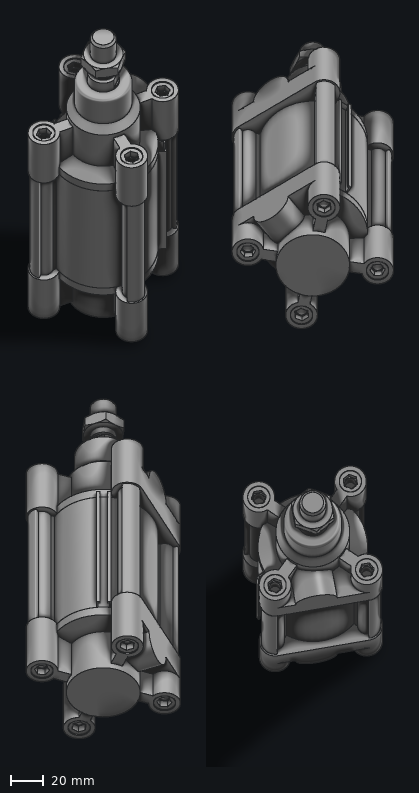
import cadquery as cq
import math


TOTAL_HEIGHT = 234.0
REAR_COLUMN_BOTTOM = 4.2
CAP_HEIGHT = 35.5
BARREL_BOTTOM = REAR_COLUMN_BOTTOM + CAP_HEIGHT
BARREL_TOP = 129.6
COLLAR_TOP = 194.2
SPIGOT_TOP = 168.7
FLAT_BOTTOM = 195.0
SHOULDER_TOP = 202.2
THREAD_BOTTOM = 205.5
NUT_BOTTOM = 210.0

CORNER_OFFSET = 28.3
CORNER_RADIUS = CORNER_OFFSET * math.sqrt(2)
CORNER_ANGLES = [45, 135, 225, 315]
WEB_WIDTH = 7.5

COLUMN_DIAMETER = 19.5
RING_DIAMETER = 67.0
RING_HEIGHT = 6.3
RING_TAPER_HEIGHT = 4.0
SPIGOT_DIAMETER = 45.0
COLLAR_DIAMETER = 35.0
COLLAR_FILLET = 2.0
ROD_BORE_DIAMETER = 20.0
RECESS_DIAMETER = 13.5
RECESS_DEPTH = 1.0
SOCKET_ACROSS_FLATS = 8.0
SOCKET_DEPTH = 4.7
CORE_HOLE_DIAMETER = 6.8
CORE_HOLE_DEPTH = 9.4
PORT_OFFSET = 4.5
PORT_DIAMETER = 25.7
PORT_FACE = CORNER_OFFSET + COLUMN_DIAMETER / 2

BARREL_DIAMETER = 67.0
TIE_BAR_DIAMETER = 11.5
SHELL_RADIUS = 8.7
SHELL_EDGE_FILLET = 0.7
RAIL_ANGLE = 24.0
RAIL_HALF_WIDTH = 4.5
RAIL_TOP = 38.4
RAIL_WALL = 1.0
RAIL_LIP = 1.2
RAIL_OPENING = 4.7
RAIL_ROOT_DEPTH = 2.3

ROD_DIAMETER = 19.5
ROD_ACROSS_FLATS = 17.0
NECK_DIAMETER = 14.5
THREAD_DIAMETER = 16.0
TIP_DIAMETER = 13.0
TIP_CHAMFER_HEIGHT = 1.6
NUT_ACROSS_FLATS = 24.0
NUT_HEIGHT = 8.5
NUT_CHAMFER_ANGLE = 30.0

HALF_HEX_ANGLE = 30.0


def cylinder(diameter, bottom, height):
    return cq.Workplane("XY").workplane(offset=bottom).circle(diameter / 2).extrude(height)


def revolved(profile):
    """Solid of revolution about Z from (radius, height) points."""
    return cq.Workplane("XZ").polyline(profile).close().revolve(360, (0, 0), (0, 1))


def hexagon(across_flats, bottom, height, turn):
    across_corners = across_flats / math.cos(math.radians(HALF_HEX_ANGLE))
    prism = cq.Workplane("XY").workplane(offset=bottom).polygon(6, across_corners).extrude(height)
    return prism.rotate((0, 0, 0), (0, 0, 1), turn)


def at_corners(shape):
    """Four copies, one per corner, of a shape drawn on the +X axis; joined into one Workplane."""
    copies = [shape.rotate((0, 0, 0), (0, 0, 1), angle) for angle in CORNER_ANGLES]
    joined = copies[0]
    for copy in copies[1:]:
        joined = joined.add(copy)
    return joined.combine()


def corner_webs(bottom, height):
    web = (
        cq.Workplane("XY").workplane(offset=bottom).rect(CORNER_RADIUS, WEB_WIDTH).extrude(height)
        .translate((CORNER_RADIUS / 2, 0, 0))
    )
    return at_corners(web)


def port_boss():
    """Block between the two +Y webs of a cap, with a half-round port boss rising from it."""
    axis_height = CAP_HEIGHT / 2
    block = (
        cq.Workplane("XY")
        .polyline([
            (0, 0), (CORNER_OFFSET, CORNER_OFFSET), (CORNER_OFFSET, PORT_FACE),
            (-CORNER_OFFSET, PORT_FACE), (-CORNER_OFFSET, CORNER_OFFSET),
        ])
        .close().extrude(axis_height)
    )
    boss = (
        cq.Workplane("XZ").center(PORT_OFFSET, axis_height).circle(PORT_DIAMETER / 2).extrude(-PORT_FACE)
    )
    return block.union(boss)


def screw_socket():
    """Cutter for one column end: shallow round recess, hexagon socket and core hole below it."""
    recess_floor = CAP_HEIGHT - RECESS_DEPTH
    socket_floor = recess_floor - SOCKET_DEPTH
    recess = cylinder(RECESS_DIAMETER, recess_floor, RECESS_DEPTH)
    socket = hexagon(SOCKET_ACROSS_FLATS, socket_floor, SOCKET_DEPTH, 45)
    core = cylinder(CORE_HOLE_DIAMETER, socket_floor - CORE_HOLE_DEPTH, CORE_HOLE_DEPTH)
    return recess.union(socket).union(core).translate((CORNER_RADIUS, 0, 0))


def cap_body():
    """Features shared by both caps; the barrel joint is at Z = 0 and the outer end faces +Z."""
    ring_radius = RING_DIAMETER / 2
    spigot_radius = SPIGOT_DIAMETER / 2
    taper_top = RING_HEIGHT + RING_TAPER_HEIGHT
    core = revolved([
        (0, 0), (ring_radius, 0), (ring_radius, RING_HEIGHT),
        (spigot_radius, taper_top), (spigot_radius, CAP_HEIGHT), (0, CAP_HEIGHT),
    ])
    column = cylinder(COLUMN_DIAMETER, 0, CAP_HEIGHT).translate((CORNER_RADIUS, 0, 0))
    body = core.union(corner_webs(0, CAP_HEIGHT)).union(at_corners(column)).union(port_boss())
    return body.cut(at_corners(screw_socket()))


def make_front_cap():
    spigot_base = BARREL_TOP + CAP_HEIGHT
    spigot_radius = SPIGOT_DIAMETER / 2
    collar_radius = COLLAR_DIAMETER / 2
    collar_base = SPIGOT_TOP + spigot_radius - collar_radius
    nose = revolved([
        (0, spigot_base), (spigot_radius, spigot_base), (spigot_radius, SPIGOT_TOP),
        (collar_radius, collar_base), (collar_radius, COLLAR_TOP), (0, COLLAR_TOP),
    ]).faces(">Z").edges().fillet(COLLAR_FILLET)
    rod_bore = cylinder(ROD_BORE_DIAMETER, BARREL_TOP, COLLAR_TOP - BARREL_TOP)
    return cap_body().translate((0, 0, BARREL_TOP)).union(nose).cut(rod_bore)


def make_rear_cap():
    body = cap_body().mirror("XY").translate((0, 0, BARREL_BOTTOM))
    spigot = cylinder(SPIGOT_DIAMETER, 0, REAR_COLUMN_BOTTOM)
    return body.union(spigot)


def sensor_rail(length):
    """Rail on the +X axis: two walls whose hooked lips leave a narrow opening between them."""
    half_opening = RAIL_OPENING / 2
    inner_half = RAIL_HALF_WIDTH - RAIL_WALL
    root = BARREL_DIAMETER / 2 - RAIL_ROOT_DEPTH
    wall = (
        cq.Workplane("XY")
        .polyline([
            (root, RAIL_HALF_WIDTH), (RAIL_TOP, RAIL_HALF_WIDTH), (RAIL_TOP, half_opening),
            (RAIL_TOP - RAIL_LIP, half_opening), (RAIL_TOP - RAIL_LIP, inner_half), (root, inner_half),
        ])
        .close().extrude(length)
    )
    return wall.union(wall.mirror("XZ"))


def tie_bar(length):
    """Round bar with a quarter-round shell that faces away from the cylinder axis, along +X."""
    bar = cq.Workplane("XY").circle(TIE_BAR_DIAMETER / 2).extrude(length)
    shell_end = SHELL_RADIUS * math.cos(math.radians(45))
    shell = (
        cq.Workplane("XY").lineTo(shell_end, -shell_end)
        .threePointArc((SHELL_RADIUS, 0), (shell_end, shell_end)).close().extrude(length)
        .edges("|Z and (>Y or <Y)").fillet(SHELL_EDGE_FILLET)
    )
    return bar.union(shell).translate((CORNER_RADIUS, 0, 0))


def make_barrel():
    length = BARREL_TOP - BARREL_BOTTOM
    barrel = cylinder(BARREL_DIAMETER, 0, length)
    barrel = barrel.union(corner_webs(0, length)).union(at_corners(tie_bar(length)))
    for angle in (RAIL_ANGLE, 180 - RAIL_ANGLE):
        barrel = barrel.union(sensor_rail(length).rotate((0, 0, 0), (0, 0, 1), angle))
    return barrel.translate((0, 0, BARREL_BOTTOM))


def make_piston_rod():
    rod_radius = ROD_DIAMETER / 2
    neck_radius = NECK_DIAMETER / 2
    thread_radius = THREAD_DIAMETER / 2
    tip_radius = TIP_DIAMETER / 2
    thread_chamfer = thread_radius - neck_radius
    rod = revolved([
        (0, BARREL_TOP), (rod_radius, BARREL_TOP), (rod_radius, SHOULDER_TOP),
        (neck_radius, SHOULDER_TOP), (neck_radius, THREAD_BOTTOM - thread_chamfer),
        (thread_radius, THREAD_BOTTOM), (thread_radius, TOTAL_HEIGHT - TIP_CHAMFER_HEIGHT),
        (tip_radius, TOTAL_HEIGHT), (0, TOTAL_HEIGHT),
    ])
    flat_height = SHOULDER_TOP - FLAT_BOTTOM
    flats = (
        cylinder(2 * ROD_DIAMETER, FLAT_BOTTOM, flat_height)
        .cut(cq.Workplane("XY").workplane(offset=FLAT_BOTTOM)
             .rect(ROD_ACROSS_FLATS, 2 * ROD_DIAMETER).extrude(flat_height))
    )
    return rod.cut(flats)


def make_rod_nut():
    corner_radius = NUT_ACROSS_FLATS / 2 / math.cos(math.radians(HALF_HEX_ANGLE))
    end_radius = NUT_ACROSS_FLATS / 2
    chamfer_height = (corner_radius - end_radius) * math.tan(math.radians(NUT_CHAMFER_ANGLE))
    nut_top = NUT_BOTTOM + NUT_HEIGHT
    envelope = revolved([
        (0, NUT_BOTTOM), (end_radius, NUT_BOTTOM), (corner_radius, NUT_BOTTOM + chamfer_height),
        (corner_radius, nut_top - chamfer_height), (end_radius, nut_top), (0, nut_top),
    ])
    nut = hexagon(NUT_ACROSS_FLATS, NUT_BOTTOM, NUT_HEIGHT, HALF_HEX_ANGLE).intersect(envelope)
    return nut.cut(cylinder(THREAD_DIAMETER, NUT_BOTTOM, NUT_HEIGHT))


rear_cap = make_rear_cap()
barrel = make_barrel()
front_cap = make_front_cap()
piston_rod = make_piston_rod()
rod_nut = make_rod_nut()

result = cq.Compound.makeCompound([
    rear_cap.val(),
    barrel.val(),
    front_cap.val(),
    piston_rod.val(),
    rod_nut.val(),
])